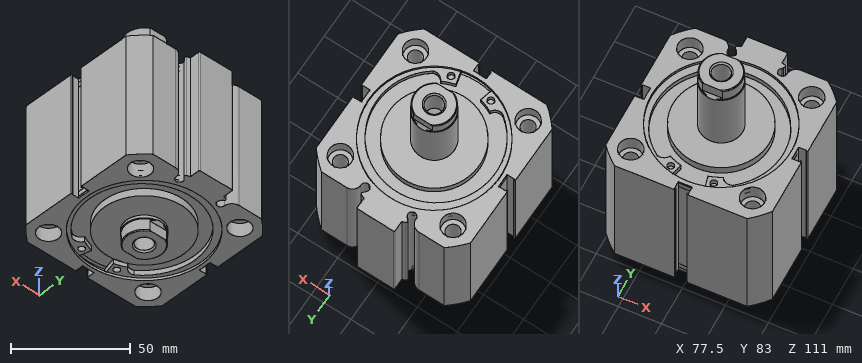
import cadquery as cq
import math

BARREL_WIDTH = 77.5
BARREL_HEIGHT = 65.0
HALF_WIDTH = BARREL_WIDTH / 2
MID_HEIGHT = BARREL_HEIGHT / 2
CORNER_RADIUS = 49.5

RAIL_TOP_Y = 44.25
RAIL_HALF_WIDTH = 9.5
RAIL_EDGE_FILLET = 0.5
GROOVE_RADIUS = 2.0
GROOVE_X = 11.75
GROOVE_Y = 34.4
SHOULDER_RADIUS = HALF_WIDTH - GROOVE_Y
LIP_TOP = (11.2, 38.1)
LIP_NOSE = (11.6, 37.5)
LIP_BOTTOM = (11.2, 36.7)
LIP_GROOVE_ANGLE = 60.0

SLOT_WIDTH = 6.4
SLOT_OPENING = 5.2
SLOT_LIP = 0.7
SLOT_LIP_CHAMFER = 0.4
SLOT_FLOOR = 34.4

BOLT_CIRCLE_RADIUS = 40.0
BOLT_HOLE_DIAMETER = 6.7
COUNTERBORE_DIAMETER = 11.0
COUNTERBORE_DEPTH = 7.1

BORE_RADIUS = 32.5
RING_OUTER_RADIUS = 34.15
RING_DEPTH = 1.4
RING_THICKNESS = 2.6

RING_INNER_RADIUS = 29.7
RING_INNER_SHIFT = -1.4
RING_GAP_HALF_ANGLE = 13.7
LUG_RADIUS = 26.4
LUG_OUTER_ANGLE = 27.8
LUG_ROOT_MIDDLE = (15.4, -25.6)
LUG_ROOT_END_X = 17.6
LUG_HOLE_X = 10.0
LUG_HOLE_Y = -27.7
LUG_HOLE_DIAMETER = 3.2

COVER_FACE_DEPTH = RING_DEPTH + RING_THICKNESS
COVER_DISC_THICKNESS = 14.0
BOSS_RADIUS = 22.5

ROD_RADIUS = 10.0
ROD_BOTTOM = -8.0
ROD_TOP = BARREL_HEIGHT + 38.0
NECK_RADIUS = 9.7
NECK_LENGTH = 6.5
NECK_CHAMFER = 0.4
ROD_CHAMFER = 0.3
FLAT_DISTANCE = 8.5
FLAT_LENGTH = 5.3
THREAD_RADIUS = 4.25
THREAD_MOUTH_RADIUS = 5.0
THREAD_DEPTH = 15.0
DRILL_POINT_ANGLE = 118.0


def turned(profile):
    """Revolve (radius, z) points about the Z axis."""
    points = [(-radius, z) for radius, z in profile]
    return cq.Workplane("YZ").polyline(points).close().revolve(360, (0, 0), (0, 1))


def polar_from_front(radius, angle):
    """Point at an angle in degrees from -Y towards +X."""
    turn = math.radians(angle)
    return (radius * math.sin(turn), -radius * math.cos(turn))


def flip_end(body):
    """Turn a body from the top end of the barrel to the bottom end."""
    return body.mirror("XY", (0, 0, MID_HEIGHT))


def rail_side_gap():
    """Open space on the +X side of the rail: the groove, the lip and the step up to the rail top."""
    lip_turn = math.radians(180 - LIP_GROOVE_ANGLE)
    lip_meets_groove = (
        GROOVE_X + GROOVE_RADIUS * math.cos(lip_turn),
        GROOVE_Y + GROOVE_RADIUS * math.sin(lip_turn),
    )
    shoulder_x = GROOVE_X + GROOVE_RADIUS + SHOULDER_RADIUS
    shoulder_mid = SHOULDER_RADIUS * math.sqrt(0.5)
    return (
        cq.Workplane("XY")
        .moveTo(RAIL_HALF_WIDTH, RAIL_TOP_Y)
        .lineTo(RAIL_HALF_WIDTH, HALF_WIDTH)
        .lineTo(*LIP_TOP)
        .threePointArc(LIP_NOSE, LIP_BOTTOM)
        .lineTo(*lip_meets_groove)
        .threePointArc(
            (GROOVE_X, GROOVE_Y - GROOVE_RADIUS),
            (GROOVE_X + GROOVE_RADIUS, GROOVE_Y),
        )
        .threePointArc(
            (shoulder_x - shoulder_mid, GROOVE_Y + shoulder_mid),
            (shoulder_x, HALF_WIDTH),
        )
        .lineTo(HALF_WIDTH, HALF_WIDTH)
        .lineTo(HALF_WIDTH, RAIL_TOP_Y)
        .close()
        .extrude(BARREL_HEIGHT)
    )


def slot_cutter(angle):
    """Undercut sensor slot with chamfered lips, turned about Z from the -Y side."""
    half_opening = SLOT_OPENING / 2
    half_mouth = half_opening + SLOT_LIP_CHAMFER
    half_slot = SLOT_WIDTH / 2
    lip_inner = SLOT_LIP - HALF_WIDTH
    lip_outer = SLOT_LIP_CHAMFER - HALF_WIDTH
    right_side = [
        (half_slot, -SLOT_FLOOR),
        (half_slot, lip_inner),
        (half_opening, lip_inner),
        (half_opening, lip_outer),
        (half_mouth, -HALF_WIDTH),
    ]
    left_side = [(-x, y) for x, y in reversed(right_side)]
    slot = cq.Workplane("XY").polyline(right_side + left_side).close().extrude(BARREL_HEIGHT)
    return slot.rotate((0, 0, 0), (0, 0, 1), angle)


def bore_cutter():
    lower_groove = (RING_DEPTH, RING_DEPTH + RING_THICKNESS)
    upper_groove = (BARREL_HEIGHT - lower_groove[1], BARREL_HEIGHT - lower_groove[0])
    profile = [(0, 0), (BORE_RADIUS, 0)]
    for start, end in (lower_groove, upper_groove):
        profile += [
            (BORE_RADIUS, start),
            (RING_OUTER_RADIUS, start),
            (RING_OUTER_RADIUS, end),
            (BORE_RADIUS, end),
        ]
    profile += [(BORE_RADIUS, BARREL_HEIGHT), (0, BARREL_HEIGHT)]
    return turned(profile)


def bolt_hole_cutters():
    positions = cq.Workplane("XY").polarArray(BOLT_CIRCLE_RADIUS, 45, 360, 4)
    holes = positions.circle(BOLT_HOLE_DIAMETER / 2).extrude(BARREL_HEIGHT)
    positions = cq.Workplane("XY").polarArray(BOLT_CIRCLE_RADIUS, 45, 360, 4)
    lower = positions.circle(COUNTERBORE_DIAMETER / 2).extrude(COUNTERBORE_DEPTH)
    return holes.union(lower).union(flip_end(lower))


def make_barrel():
    block = cq.Workplane("XY").box(
        BARREL_WIDTH, BARREL_WIDTH, BARREL_HEIGHT, centered=(True, True, False)
    )
    block = block.intersect(cq.Workplane("XY").circle(CORNER_RADIUS).extrude(BARREL_HEIGHT))
    rail = (
        cq.Workplane("XY")
        .box(2 * RAIL_HALF_WIDTH, RAIL_TOP_Y, BARREL_HEIGHT, centered=(True, False, False))
        .edges("|Z and >Y")
        .fillet(RAIL_EDGE_FILLET)
    )
    gap = rail_side_gap()
    barrel = block.union(rail).cut(gap).cut(gap.mirror("YZ"))
    for angle in (-90, 0, 90):
        barrel = barrel.cut(slot_cutter(angle))
    return barrel.cut(bolt_hole_cutters()).cut(bore_cutter())


def make_top_ring():
    gap_inner = polar_from_front(LUG_RADIUS, RING_GAP_HALF_ANGLE)
    gap_outer = polar_from_front(RING_OUTER_RADIUS, RING_GAP_HALF_ANGLE)
    lug_middle = polar_from_front(LUG_RADIUS, (RING_GAP_HALF_ANGLE + LUG_OUTER_ANGLE) / 2)
    lug_end = polar_from_front(LUG_RADIUS, LUG_OUTER_ANGLE)
    root_drop = math.sqrt(RING_INNER_RADIUS**2 - LUG_ROOT_END_X**2)
    root_end = (LUG_ROOT_END_X, RING_INNER_SHIFT - root_drop)

    def mirrored(point):
        return (-point[0], point[1])

    return (
        cq.Workplane("XY", origin=(0, 0, BARREL_HEIGHT - COVER_FACE_DEPTH))
        .moveTo(*gap_outer)
        .lineTo(*gap_inner)
        .threePointArc(lug_middle, lug_end)
        .threePointArc(LUG_ROOT_MIDDLE, root_end)
        .threePointArc((0, RING_INNER_RADIUS + RING_INNER_SHIFT), mirrored(root_end))
        .threePointArc(mirrored(LUG_ROOT_MIDDLE), mirrored(lug_end))
        .threePointArc(mirrored(lug_middle), mirrored(gap_inner))
        .lineTo(*mirrored(gap_outer))
        .threePointArc((0, RING_OUTER_RADIUS), gap_outer)
        .close()
        .pushPoints([(LUG_HOLE_X, LUG_HOLE_Y), (-LUG_HOLE_X, LUG_HOLE_Y)])
        .circle(LUG_HOLE_DIAMETER / 2)
        .extrude(RING_THICKNESS)
    )


def make_top_cover():
    face_z = BARREL_HEIGHT - COVER_FACE_DEPTH
    inner_z = face_z - COVER_DISC_THICKNESS
    return turned([
        (ROD_RADIUS, inner_z),
        (BORE_RADIUS, inner_z),
        (BORE_RADIUS, face_z),
        (BOSS_RADIUS, face_z),
        (BOSS_RADIUS, BARREL_HEIGHT),
        (ROD_RADIUS, BARREL_HEIGHT),
    ])


def rod_end_profile():
    """(radius, distance from the rod end) from the tip of the thread drilling out to the rod side."""
    point_length = THREAD_RADIUS / math.tan(math.radians(DRILL_POINT_ANGLE / 2))
    mouth_depth = THREAD_MOUTH_RADIUS - THREAD_RADIUS
    return [
        (0, THREAD_DEPTH + point_length),
        (THREAD_RADIUS, THREAD_DEPTH),
        (THREAD_RADIUS, mouth_depth),
        (THREAD_MOUTH_RADIUS, 0),
        (NECK_RADIUS - NECK_CHAMFER, 0),
        (NECK_RADIUS, NECK_CHAMFER),
        (NECK_RADIUS, NECK_LENGTH - ROD_CHAMFER),
        (ROD_RADIUS, NECK_LENGTH),
    ]


def flat_cutter(side, end_z, inward):
    """Wrench flat on one side of the rod, running out through a 45 degree slope."""
    run_out = ROD_RADIUS - FLAT_DISTANCE
    outline = [
        (side * FLAT_DISTANCE, end_z),
        (side * FLAT_DISTANCE, end_z + inward * FLAT_LENGTH),
        (side * ROD_RADIUS, end_z + inward * (FLAT_LENGTH + run_out)),
        (side * ROD_RADIUS, end_z),
    ]
    return cq.Workplane("YZ").polyline(outline).close().extrude(ROD_RADIUS, both=True)


def make_rod():
    end = rod_end_profile()
    lower = [(radius, ROD_BOTTOM + distance) for radius, distance in end]
    upper = [(radius, ROD_TOP - distance) for radius, distance in reversed(end)]
    rod = turned(lower + upper)
    for side in (-1, 1):
        rod = rod.cut(flat_cutter(side, ROD_BOTTOM, 1))
        rod = rod.cut(flat_cutter(side, ROD_TOP, -1))
    return rod


barrel = make_barrel()
rod = make_rod()
top_ring = make_top_ring()
top_cover = make_top_cover()
bottom_ring = flip_end(top_ring)
bottom_cover = flip_end(top_cover)

result = cq.Compound.makeCompound([
    barrel.val(),
    rod.val(),
    top_cover.val(),
    bottom_cover.val(),
    top_ring.val(),
    bottom_ring.val(),
])